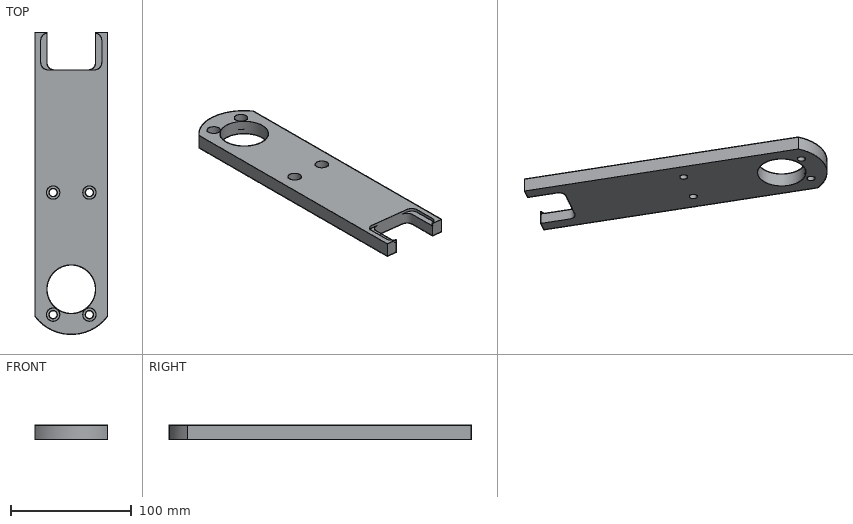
import cadquery as cq

width = 60.0
length = 249.9
thickness = 12.0
end_radius = 37.5
square_end_y = length - end_radius
shoulder_y = -(end_radius**2 - (width / 2) ** 2) ** 0.5

bore_diameter = 40.0

screw_diameter = 6.5
head_diameter = 11.0
head_depth = 8.0
screw_spacing_x = 30.0
front_row_y = -21.0
back_row_y = 80.0

slot_width = 40.0
slot_depth = 31.0
recess_width = 50.5
recess_depth = 2.5
recess_end_wall = 0.5
corner_radius = 6.0
slot_floor_y = square_end_y - slot_depth


def make_plate():
    """Flat bar with one square end and one arc-shaped end."""
    return (
        cq.Workplane("XY")
        .moveTo(-width / 2, square_end_y)
        .lineTo(-width / 2, shoulder_y)
        .threePointArc((0, -end_radius), (width / 2, shoulder_y))
        .lineTo(width / 2, square_end_y)
        .close()
        .extrude(thickness)
    )


def make_slot():
    """Open slot cutter, rounded only at its two inner corners."""
    return (
        cq.Workplane("XY")
        .center(0, slot_floor_y + slot_depth / 2)
        .rect(slot_width, slot_depth)
        .extrude(thickness)
        .edges("|Z and <Y")
        .fillet(corner_radius)
    )


def make_recess():
    """Rounded pocket cutter that stops just short of the square end."""
    recess_length = slot_depth - recess_end_wall
    return (
        cq.Workplane("XY")
        .workplane(offset=thickness - recess_depth)
        .center(0, slot_floor_y + recess_length / 2)
        .rect(recess_width, recess_length)
        .extrude(recess_depth)
        .edges("|Z")
        .fillet(corner_radius)
    )


screw_points = [
    (side * screw_spacing_x / 2, row_y)
    for row_y in (front_row_y, back_row_y)
    for side in (-1, 1)
]

result = (
    make_plate()
    .cut(make_slot())
    .cut(make_recess())
    .faces(">Z")
    .workplane(origin=(0, 0, thickness))
    .circle(bore_diameter / 2)
    .cutThruAll()
    .faces(">Z")
    .workplane(origin=(0, 0, thickness))
    .pushPoints(screw_points)
    .cboreHole(screw_diameter, head_diameter, head_depth)
)